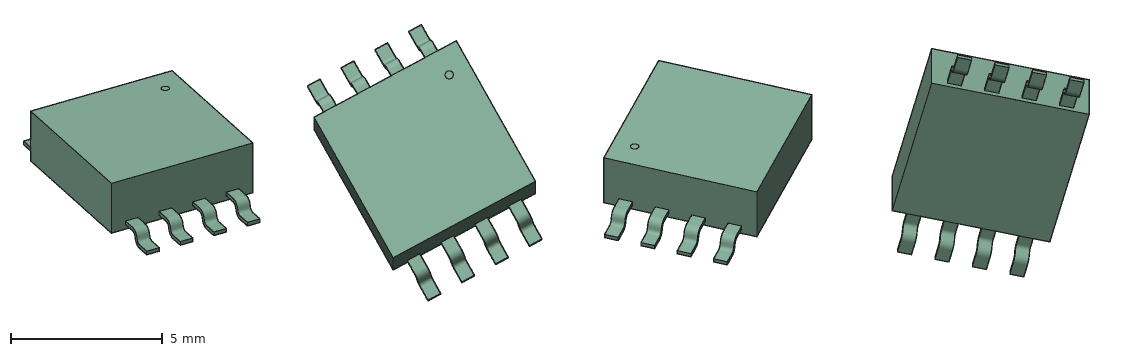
import cadquery as cq
import math

OVERALL_LENGTH = 8.26
OVERALL_HEIGHT = 2.16

BODY_LENGTH = 5.42
BODY_WIDTH = 5.36
BODY_HEIGHT = 1.91
BODY_BOTTOM = OVERALL_HEIGHT - BODY_HEIGHT

MARKER_DIAMETER = 0.27
MARKER_DEPTH = 0.05
MARKER_X = -1.81
MARKER_Y = 1.92

LEADS_PER_SIDE = 4
LEAD_PITCH = 1.27
LEAD_WIDTH = 0.48
LEAD_THICKNESS = 0.14
LEAD_HEIGHT = 0.57
FOOT_LENGTH = 0.49
BEND_ANGLE = math.radians(74)
INNER_RADIUS = 0.15
OUTER_RADIUS = INNER_RADIUS + LEAD_THICKNESS

LEAD_RISE = LEAD_HEIGHT - LEAD_THICKNESS
BENDS_RISE = (INNER_RADIUS + OUTER_RADIUS) * (1 - math.cos(BEND_ANGLE))
SLOPE_LENGTH = (LEAD_RISE - BENDS_RISE) / math.sin(BEND_ANGLE)
BEND_SPAN = (INNER_RADIUS + OUTER_RADIUS) * math.sin(BEND_ANGLE) + SLOPE_LENGTH * math.cos(BEND_ANGLE)


def make_marker():
    """Round disc that fills the recess in the top of the body."""
    return (
        cq.Workplane("XY")
        .workplane(offset=OVERALL_HEIGHT - MARKER_DEPTH)
        .center(MARKER_X, MARKER_Y)
        .circle(MARKER_DIAMETER / 2)
        .extrude(MARKER_DEPTH)
    )


def make_body(marker):
    """Plain rectangular package with a recess for the marker."""
    block = (
        cq.Workplane("XY")
        .workplane(offset=BODY_BOTTOM)
        .rect(BODY_LENGTH, BODY_WIDTH)
        .extrude(BODY_HEIGHT)
    )
    return block.cut(marker)


def lower_bend_point(radius, angle):
    """Point on the bend above the foot, at an angle turned from the foot direction."""
    center_x = -OVERALL_LENGTH / 2 + FOOT_LENGTH
    center_z = LEAD_THICKNESS + INNER_RADIUS
    return (center_x + radius * math.sin(angle), center_z - radius * math.cos(angle))


def upper_bend_point(radius, angle):
    """Point on the bend below the shoulder, at an angle turned from the shoulder direction."""
    center_x = -OVERALL_LENGTH / 2 + FOOT_LENGTH + BEND_SPAN
    center_z = LEAD_HEIGHT - OUTER_RADIUS
    return (center_x - radius * math.sin(angle), center_z + radius * math.cos(angle))


def make_left_lead(y):
    """Gull-wing lead on the -X side, centred at the given Y and ending at the body wall."""
    toe_x = -OVERALL_LENGTH / 2
    wall_x = -BODY_LENGTH / 2
    half_angle = BEND_ANGLE / 2
    return (
        cq.Workplane("XZ", origin=(0, y, 0))
        .moveTo(toe_x, 0)
        .lineTo(*lower_bend_point(OUTER_RADIUS, 0))
        .threePointArc(
            lower_bend_point(OUTER_RADIUS, half_angle),
            lower_bend_point(OUTER_RADIUS, BEND_ANGLE),
        )
        .lineTo(*upper_bend_point(INNER_RADIUS, BEND_ANGLE))
        .threePointArc(
            upper_bend_point(INNER_RADIUS, half_angle),
            upper_bend_point(INNER_RADIUS, 0),
        )
        .lineTo(wall_x, LEAD_HEIGHT - LEAD_THICKNESS)
        .lineTo(wall_x, LEAD_HEIGHT)
        .lineTo(*upper_bend_point(OUTER_RADIUS, 0))
        .threePointArc(
            upper_bend_point(OUTER_RADIUS, half_angle),
            upper_bend_point(OUTER_RADIUS, BEND_ANGLE),
        )
        .lineTo(*lower_bend_point(INNER_RADIUS, BEND_ANGLE))
        .threePointArc(
            lower_bend_point(INNER_RADIUS, half_angle),
            lower_bend_point(INNER_RADIUS, 0),
        )
        .lineTo(toe_x, LEAD_THICKNESS)
        .close()
        .extrude(LEAD_WIDTH / 2, both=True)
    )


def make_leads():
    """Two mirrored rows of leads, each lead a separate solid."""
    leads = []
    for index in range(LEADS_PER_SIDE):
        y = (index - (LEADS_PER_SIDE - 1) / 2) * LEAD_PITCH
        left_lead = make_left_lead(y)
        right_lead = left_lead.mirror("YZ")
        leads.append(left_lead.val())
        leads.append(right_lead.val())
    return leads


pin_one_marker = make_marker()
body = make_body(pin_one_marker)

result = cq.Compound.makeCompound([body.val(), pin_one_marker.val(), *make_leads()])